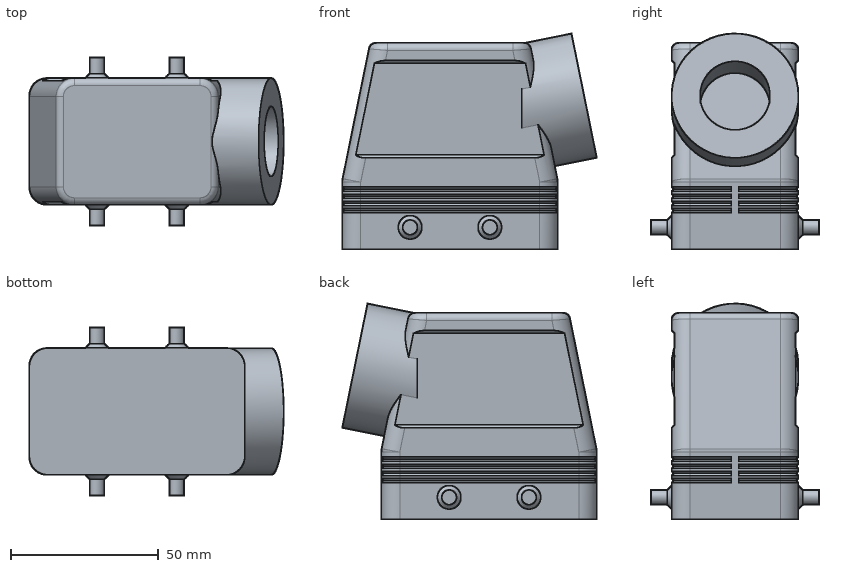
import math

import cadquery as cq

BODY_LENGTH = 73.0
BODY_WIDTH = 43.0
BODY_HEIGHT = 70.0
BEND_HEIGHT = 23.5
BEND_RADIUS = 5.0
LEAN_ANGLE = 11.5
CORNER_RADIUS = 6.2
TOP_EDGE_RADIUS = 2.5

RECESS_DEPTH = 1.0
RECESS_BOTTOM = 31.0
RECESS_TOP = 64.0

GROOVE_COUNT = 4
GROOVE_WIDTH = 1.5
GROOVE_WALL_ANGLE = 45.0
GROOVE_PITCH = 2.43
LOWEST_GROOVE_BOTTOM = 12.4
RIB_WIDTH = 2.7

PIN_SPACING = 27.0
PIN_HEIGHT = 7.5
PIN_DIAMETER = 5.0
PIN_SPAN = 57.0
PIN_FOOT_DIAMETER = 8.0

SPIGOT_DIAMETER = 43.0
SPIGOT_FACE_X = 45.45
SPIGOT_FACE_Z = 52.1
SPIGOT_ROOT_X = 24.3
BORE_DIAMETER = 23.7
BORE_DEPTH = 20.0

HALF_LENGTH = BODY_LENGTH / 2
HALF_WIDTH = BODY_WIDTH / 2


def make_body():
    """Solid hood with rounded corners and top edge."""
    lean = (BODY_HEIGHT - BEND_HEIGHT) * math.tan(math.radians(LEAN_ANGLE))
    top_half_length = HALF_LENGTH - lean
    profile = [
        (-HALF_LENGTH, 0),
        (HALF_LENGTH, 0),
        (HALF_LENGTH, BEND_HEIGHT),
        (top_half_length, BODY_HEIGHT),
        (-top_half_length, BODY_HEIGHT),
        (-HALF_LENGTH, BEND_HEIGHT),
    ]
    body = cq.Workplane("XZ").polyline(profile).close().extrude(HALF_WIDTH, both=True)
    bend_band = cq.selectors.BoxSelector(
        (-BODY_LENGTH, -BODY_WIDTH, BEND_HEIGHT - BEND_RADIUS),
        (BODY_LENGTH, BODY_WIDTH, BEND_HEIGHT + BEND_RADIUS),
    )
    body = body.edges("|Y").edges(bend_band).fillet(BEND_RADIUS)
    upright_edges = body.faces("<Y or >Y").edges("not(<Z or >Z)")
    body = upright_edges.fillet(CORNER_RADIUS)
    return body.faces(">Z").edges().fillet(TOP_EDGE_RADIUS)


def make_recess(side):
    """Trapezoid cutter running the full length of one long side (side is -1 or 1)."""
    outer_y = side * HALF_WIDTH
    floor_y = side * (HALF_WIDTH - RECESS_DEPTH)
    section = [
        (outer_y, RECESS_BOTTOM),
        (floor_y, RECESS_BOTTOM + RECESS_DEPTH),
        (floor_y, RECESS_TOP - RECESS_DEPTH),
        (outer_y, RECESS_TOP),
    ]
    return cq.Workplane("YZ").polyline(section).close().extrude(HALF_LENGTH, both=True)


def make_groove(bottom):
    """Ring cutter with a V section, leaving out the end ribs."""
    half_groove = GROOVE_WIDTH / 2
    middle = bottom + half_groove
    ring = cq.Workplane("XY", origin=(0, 0, middle)).box(
        BODY_LENGTH + GROOVE_WIDTH, BODY_WIDTH + GROOVE_WIDTH, GROOVE_WIDTH
    )
    outline = cq.Sketch().rect(BODY_LENGTH, BODY_WIDTH).vertices().fillet(CORNER_RADIUS)
    core_base = cq.Workplane("XY", origin=(0, 0, bottom)).placeSketch(outline)
    lower_core = core_base.extrude(half_groove, taper=GROOVE_WALL_ANGLE)
    upper_core = lower_core.mirror("XY", (0, 0, middle))
    rib = cq.Workplane("XY", origin=(0, 0, middle)).box(2 * BODY_LENGTH, RIB_WIDTH, GROOVE_WIDTH)
    return ring.cut(lower_core).cut(upper_core).cut(rib)


def make_pin(x, side):
    """Pin with a conical foot, standing out of one long side (side is -1 or 1)."""
    pin_radius = PIN_DIAMETER / 2
    foot_radius = PIN_FOOT_DIAMETER / 2
    foot_height = foot_radius - pin_radius
    tip = PIN_SPAN / 2
    root = HALF_WIDTH - RECESS_DEPTH
    half_section = [
        (0, root),
        (foot_radius, root),
        (foot_radius, HALF_WIDTH),
        (pin_radius, HALF_WIDTH + foot_height),
        (pin_radius, tip),
        (0, tip),
    ]
    pin = cq.Workplane("XY").polyline(half_section).close().revolve(360, (0, 0, 0), (0, 1, 0))
    if side < 0:
        pin = pin.mirror("XZ")
    return pin.translate((x, 0, PIN_HEIGHT))


def spigot_face():
    """Plane of the spigot's end face, its normal pointing out of the hood."""
    angle = math.radians(LEAN_ANGLE)
    return cq.Plane(
        origin=(SPIGOT_FACE_X, 0, SPIGOT_FACE_Z),
        xDir=(0, 1, 0),
        normal=(math.cos(angle), 0, math.sin(angle)),
    )


def make_spigot():
    """Tilted cylinder ending on a vertical plane inside the hood."""
    cylinder = cq.Workplane(spigot_face()).circle(SPIGOT_DIAMETER / 2).extrude(-SPIGOT_DIAMETER)
    behind_root = cq.Workplane("XY", origin=(SPIGOT_ROOT_X - BODY_LENGTH, 0, 0)).box(
        BODY_LENGTH, 2 * BODY_WIDTH, 2 * BODY_HEIGHT, centered=(False, True, False)
    )
    return cylinder.cut(behind_root)


def make_bore():
    """Blind bore cutter, sunk squarely into the spigot's end face."""
    return cq.Workplane(spigot_face()).circle(BORE_DIAMETER / 2).extrude(-BORE_DEPTH)


result = make_body()
for side in (-1, 1):
    result = result.cut(make_recess(side))
for index in range(GROOVE_COUNT):
    result = result.cut(make_groove(LOWEST_GROOVE_BOTTOM + index * GROOVE_PITCH))
for side in (-1, 1):
    for pin_x in (-PIN_SPACING / 2, PIN_SPACING / 2):
        result = result.union(make_pin(pin_x, side))
result = result.union(make_spigot())
result = result.cut(make_bore())